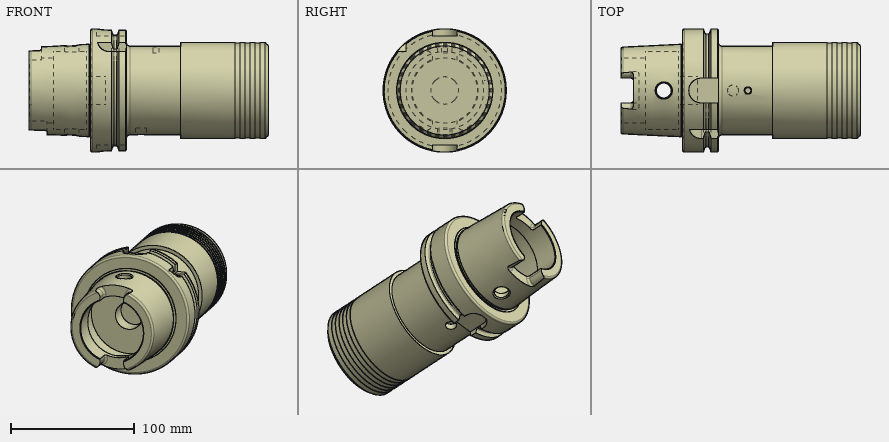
import cadquery as cq
LENGTH = 194.0

TAPER_END = 48.5
TAPER_BIG_RADIUS = 75.0 / 2
TAPER_RATIO = 0.05
SHANK_NOSE_FILLET = 1.7
RELIEF_RADIUS = 36.9
RELIEF_CHAMFER = 0.5
FACE_RECESS_RADIUS = 78.0 / 2
FACE_RECESS_DEPTH = 0.5

FLANGE_START = 49.9
FLANGE_END = 79.0
FLANGE_RADIUS = 100.0 / 2
FLANGE_FRONT_FILLET = 1.7
FLANGE_BACK_CHAMFER = 1.0

GROOVE_CENTRE = 69.8
GROOVE_FLOOR_RADIUS = 46.0
GROOVE_HALF_MOUTH = 3.1
GROOVE_HALF_FLOOR = 1.69
GROOVE_FILLET = 1.0

NECK_RADIUS = 72.0 / 2
NECK_FILLET = 3.0
BODY_START = 122.8
BODY_RADIUS = 78.0 / 2
BODY_END_CHAMFER = 3.0
RING_RADIUS = 77.0 / 2
RING_WIDTH = 4.0
RING_COUNT = 3
FIRST_RING = 166.6

ENTRY_RADIUS = 53.0 / 2
ENTRY_CHAMFER = 0.5
ENTRY_DEPTH = 20.0
CLAMP_RADIUS = 63.0 / 2
BORE_DEPTH = 46.5
TUBE_HOLE_RADIUS = 22.3 / 2
TUBE_HOLE_DEPTH = 15.5

DRIVE_HALF_WIDTH = 20.0 / 2
DRIVE_DEPTH_TOP = 10.0
DRIVE_DEPTH_BOTTOM = 14.7
DRIVE_FLOOR_FILLET = 2.0
DRIVE_EDGE_RADIUS = 5.0
DRIVE_SHOULDER = 32.2

KEYWAY_HALF_WIDTH = 20.0 / 2
KEYWAY_START = 54.9
KEYWAY_FLOOR = 44.0
NOTCH_CORNER = 31.5
NOTCH_START = 55.3
NOTCH_RADIUS = 9.9

ACCESS_X = 34.7
ACCESS_RADIUS = 12.0 / 2
ACCESS_CHAMFER = 1.0
TOP_HOLE_X = 102.8
TOP_HOLE_RADIUS = 4.8 / 2
TOP_HOLE_CHAMFER = 0.5
BOTTOM_HOLE_X = 90.8
BOTTOM_HOLE_RADIUS = 9.0 / 2
BLIND_HOLE_DEPTH = 5.8


def revolve_x(profile):
    return profile.close().revolve(360, (0, 0, 0), (1, 0, 0))


def turned_cylinder(start, end, radius):
    return cq.Workplane("YZ", origin=(start, 0, 0)).circle(radius).extrude(end - start)


def shank():
    """Solid taper with the chamfered cross hole for the clamp access."""
    nose_radius = TAPER_BIG_RADIUS - TAPER_RATIO * TAPER_END
    profile = (
        cq.Workplane("XY").lineTo(0, nose_radius).lineTo(TAPER_END, TAPER_BIG_RADIUS)
        .lineTo(FLANGE_START, TAPER_BIG_RADIUS).lineTo(FLANGE_START, 0)
    )
    taper = revolve_x(profile).faces("<X").edges().fillet(SHANK_NOSE_FILLET)
    hole = (
        cq.Workplane("XY", origin=(ACCESS_X, 0, -TAPER_BIG_RADIUS)).circle(ACCESS_RADIUS)
        .extrude(2 * TAPER_BIG_RADIUS)
    )
    mouths = taper.cut(hole).edges("%BSPLINE")
    return mouths.chamfer(ACCESS_CHAMFER)


def taper_relief():
    """Ring round the root of the taper that also sinks into the flange face."""
    profile = (
        cq.Workplane("XY").moveTo(TAPER_END, TAPER_BIG_RADIUS)
        .lineTo(TAPER_END + RELIEF_CHAMFER, RELIEF_RADIUS)
        .lineTo(FLANGE_START + FACE_RECESS_DEPTH, RELIEF_RADIUS)
        .lineTo(FLANGE_START + FACE_RECESS_DEPTH, FACE_RECESS_RADIUS)
        .lineTo(TAPER_END, FACE_RECESS_RADIUS)
    )
    return revolve_x(profile)


def gripper_groove():
    outer = FLANGE_RADIUS
    floor = GROOVE_FLOOR_RADIUS
    profile = (
        cq.Workplane("XY").moveTo(GROOVE_CENTRE - GROOVE_HALF_MOUTH, outer)
        .lineTo(GROOVE_CENTRE - GROOVE_HALF_FLOOR, floor)
        .lineTo(GROOVE_CENTRE + GROOVE_HALF_FLOOR, floor)
        .lineTo(GROOVE_CENTRE + GROOVE_HALF_MOUTH, outer)
    )
    ring = revolve_x(profile)
    floor_edges = cq.selectors.RadiusNthSelector(0)
    return ring.edges(floor_edges).fillet(GROOVE_FILLET)


def flange():
    disc = turned_cylinder(FLANGE_START, FLANGE_END, FLANGE_RADIUS)
    disc = disc.faces("<X").edges().fillet(FLANGE_FRONT_FILLET)
    disc = disc.faces(">X").edges().chamfer(FLANGE_BACK_CHAMFER)
    return disc.cut(gripper_groove())


def blind_hole(x, side, radius):
    bottom = NECK_RADIUS - BLIND_HOLE_DEPTH
    hole = cq.Workplane("XY", origin=(x, 0, side * bottom)).circle(radius)
    return hole.extrude(side * 2 * BLIND_HOLE_DEPTH)


def neck():
    profile = (
        cq.Workplane("XY").moveTo(FLANGE_END, 0)
        .lineTo(FLANGE_END, NECK_RADIUS + NECK_FILLET)
        .radiusArc((FLANGE_END + NECK_FILLET, NECK_RADIUS), -NECK_FILLET)
        .lineTo(BODY_START, NECK_RADIUS).lineTo(BODY_START, 0)
    )
    drilled = revolve_x(profile).cut(blind_hole(TOP_HOLE_X, 1, TOP_HOLE_RADIUS))
    mouth = drilled.edges("%BSPLINE")
    chamfered = mouth.chamfer(TOP_HOLE_CHAMFER)
    return chamfered.cut(blind_hole(BOTTOM_HOLE_X, -1, BOTTOM_HOLE_RADIUS))


def body():
    cylinder = turned_cylinder(BODY_START, LENGTH, BODY_RADIUS)
    cylinder = cylinder.faces(">X").edges().chamfer(BODY_END_CHAMFER)
    for index in range(RING_COUNT):
        start = FIRST_RING + 2 * RING_WIDTH * index
        ring = (
            cq.Workplane("YZ", origin=(start, 0, 0)).circle(BODY_RADIUS).circle(RING_RADIUS)
            .extrude(RING_WIDTH)
        )
        cylinder = cylinder.cut(ring)
    return cylinder


def bore():
    profile = (
        cq.Workplane("XY").lineTo(0, ENTRY_RADIUS + ENTRY_CHAMFER)
        .lineTo(ENTRY_CHAMFER, ENTRY_RADIUS).lineTo(ENTRY_DEPTH, ENTRY_RADIUS)
        .lineTo(ENTRY_DEPTH, CLAMP_RADIUS).lineTo(BORE_DEPTH, CLAMP_RADIUS)
        .lineTo(BORE_DEPTH, TUBE_HOLE_RADIUS)
        .lineTo(BORE_DEPTH + TUBE_HOLE_DEPTH, TUBE_HOLE_RADIUS)
        .lineTo(BORE_DEPTH + TUBE_HOLE_DEPTH, 0)
    )
    return revolve_x(profile)


def drive_slot(side, depth):
    """Slot whose side walls roll outward over the rounded corners of the lugs."""
    reach = FLANGE_RADIUS
    wall = DRIVE_HALF_WIDTH
    rolled = wall + DRIVE_EDGE_RADIUS
    roll_start = DRIVE_SHOULDER - DRIVE_EDGE_RADIUS
    section = (
        cq.Workplane("YZ", origin=(-depth, 0, 0)).moveTo(-wall, 0).lineTo(-wall, roll_start)
        .radiusArc((-rolled, DRIVE_SHOULDER), -DRIVE_EDGE_RADIUS)
        .lineTo(-reach, DRIVE_SHOULDER).lineTo(-reach, reach).lineTo(reach, reach)
        .lineTo(reach, DRIVE_SHOULDER).lineTo(rolled, DRIVE_SHOULDER)
        .radiusArc((wall, roll_start), -DRIVE_EDGE_RADIUS).lineTo(wall, 0).close()
    )
    slot = section.extrude(2 * depth).faces(">X").edges().fillet(DRIVE_FLOOR_FILLET)
    return slot if side > 0 else slot.mirror("XY")


def keyway(side):
    """Round-ended flat cut across the rim, open at the back of the flange."""
    end_centre = KEYWAY_START + KEYWAY_HALF_WIDTH
    outline = (
        cq.Workplane("XY", origin=(0, 0, side * KEYWAY_FLOOR))
        .moveTo(FLANGE_END, -KEYWAY_HALF_WIDTH).lineTo(end_centre, -KEYWAY_HALF_WIDTH)
        .threePointArc((KEYWAY_START, 0), (end_centre, KEYWAY_HALF_WIDTH))
        .lineTo(FLANGE_END, KEYWAY_HALF_WIDTH).close()
    )
    return outline.extrude(side * (FLANGE_RADIUS - KEYWAY_FLOOR))


def notch():
    """Square-cornered index notch between the top keyway and the -Y side, its front end rounded."""
    length = FLANGE_END - NOTCH_START
    size = FLANGE_RADIUS - NOTCH_CORNER
    cutter = cq.Workplane("XY").box(length, size, size).edges("|Y and <X and <Z").fillet(NOTCH_RADIUS)
    middle = NOTCH_CORNER + size / 2
    return cutter.translate((NOTCH_START + length / 2, -middle, middle))


result = shank().union(flange()).union(neck()).union(body())
result = result.cut(taper_relief()).cut(bore())
result = result.cut(drive_slot(1, DRIVE_DEPTH_TOP)).cut(drive_slot(-1, DRIVE_DEPTH_BOTTOM))
result = result.cut(keyway(1)).cut(keyway(-1)).cut(notch())